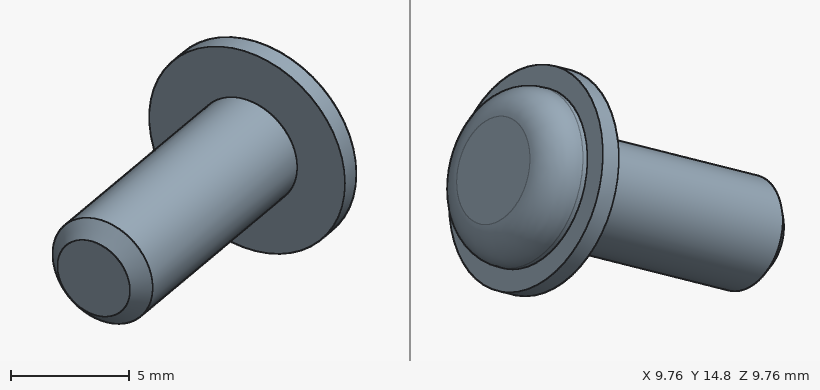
import cadquery as cq

total_length = 14.75
shank_radius = 5.0 / 2
tip_chamfer = 0.7
collar_radius = 9.76 / 2
collar_thickness = 0.9
head_radius = 7.8 / 2
head_height = 1.85
head_rim_height = 0.27
head_round = head_height - head_rim_height

head_top = collar_thickness + head_height
tip = head_top - total_length


def cylinder(radius, start, end):
    """Solid cylinder on the Y axis between two Y positions."""
    return cq.Workplane("XZ", origin=(0, end, 0)).circle(radius).extrude(end - start)


shank = cylinder(shank_radius, tip, 0).faces("<Y").chamfer(tip_chamfer)
collar = cylinder(collar_radius, 0, collar_thickness)
head = cylinder(head_radius, collar_thickness, head_top).faces(">Y").edges().fillet(head_round)

result = collar.union(shank).union(head)